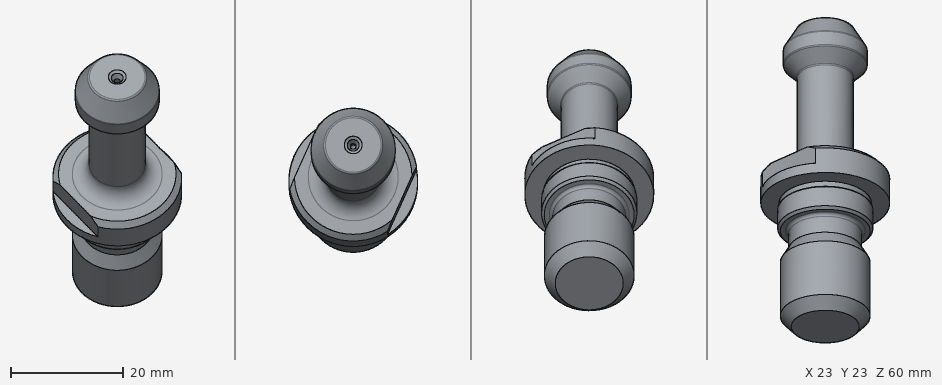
import cadquery as cq
import math

total_height = 60.0

thread_radius = 16.0 / 2
thread_tip_radius = 6.05
thread_chamfer_height = 2.15
thread_top_z = 13.0
cone_half_angle = math.radians(30)

relief_radius = 13.0 / 2
relief_fillet = 0.6

pilot_bottom_z = 19.45
pilot_radius = 17.0 / 2
pilot_lower_chamfer = 0.5
pilot_top_z = 24.0
undercut_radius = 16.5 / 2

flange_radius = 23.0 / 2
flange_bottom_z = 25.0
flange_height = 6.0
flange_top_z = flange_bottom_z + flange_height
flange_chamfer = 1.0
flats_width = 19.0
flats_bottom_z = 27.0

stem_radius = 10.0 / 2
stem_fillet = 3.0
head_radius = 15.0 / 2
head_top_radius = 5.15
head_bottom_z = 53.05
head_edge_fillet = 0.35

guard_radius = 3.2 / 2
seat_radius = 2.1 / 2
drill_radius = 1.0 / 2
drill_length = 1.3
point_half_angle = math.radians(59)


def make_body():
    """Turned body, revolved about Z."""
    runout_top_z = thread_top_z + (thread_radius - relief_radius) / math.tan(cone_half_angle)
    pilot_upper_chamfer = pilot_radius - undercut_radius
    head_under_z = head_bottom_z - (head_radius - stem_radius)
    head_cone_z = total_height - (head_radius - head_top_radius) / math.tan(cone_half_angle)
    half_profile = (
        cq.Workplane("XZ")
        .moveTo(0, 0)
        .lineTo(thread_tip_radius, 0)
        .lineTo(thread_radius, thread_chamfer_height)
        .lineTo(thread_radius, thread_top_z)
        .lineTo(relief_radius, runout_top_z)
        .lineTo(relief_radius, pilot_bottom_z - relief_fillet)
        .radiusArc((relief_radius + relief_fillet, pilot_bottom_z), relief_fillet)
        .lineTo(pilot_radius - pilot_lower_chamfer, pilot_bottom_z)
        .lineTo(pilot_radius, pilot_bottom_z + pilot_lower_chamfer)
        .lineTo(pilot_radius, pilot_top_z - pilot_upper_chamfer)
        .lineTo(undercut_radius, pilot_top_z)
        .lineTo(undercut_radius, flange_bottom_z)
        .lineTo(flange_radius, flange_bottom_z)
        .lineTo(flange_radius, flange_top_z - flange_chamfer)
        .lineTo(flange_radius - flange_chamfer, flange_top_z)
        .lineTo(stem_radius + stem_fillet, flange_top_z)
        .radiusArc((stem_radius, flange_top_z + stem_fillet), stem_fillet)
        .lineTo(stem_radius, head_under_z)
        .lineTo(head_radius, head_bottom_z)
        .lineTo(head_radius, head_cone_z)
        .lineTo(head_top_radius, total_height)
        .lineTo(0, total_height)
        .close()
    )
    body = half_profile.revolve(360, (0, 0, 0), (0, 1, 0))
    reach = 2 * flange_radius
    margin = head_edge_fillet
    head_zone = cq.selectors.BoxSelector(
        (-reach, -reach, head_under_z - margin),
        (reach, reach, total_height + margin),
    )
    head_edges = body.edges("%CIRCLE").edges(head_zone)
    return head_edges.fillet(head_edge_fillet)


def make_flat_cutter(side):
    """Block that cuts one wrench flat on the given Y side (+1 or -1)."""
    depth = flange_radius
    return (
        cq.Workplane("XY", origin=(0, side * (flats_width + depth) / 2, flats_bottom_z))
        .rect(2 * flange_radius, depth)
        .extrude(flange_top_z - flats_bottom_z)
    )


def make_centre_drilling():
    """Stepped conical centre hole in the top face."""
    seat_z = total_height - (guard_radius - seat_radius) / math.tan(math.radians(60))
    drill_z = seat_z - (seat_radius - drill_radius) / math.tan(math.radians(30))
    drill_end_z = drill_z - drill_length
    point_z = drill_end_z - drill_radius / math.tan(point_half_angle)
    outline = [
        (0, total_height),
        (guard_radius, total_height),
        (seat_radius, seat_z),
        (drill_radius, drill_z),
        (drill_radius, drill_end_z),
        (0, point_z),
    ]
    return cq.Workplane("XZ").polyline(outline).close().revolve(360, (0, 0, 0), (0, 1, 0))


result = make_body()
for side in (-1, 1):
    result = result.cut(make_flat_cutter(side))
result = result.cut(make_centre_drilling())